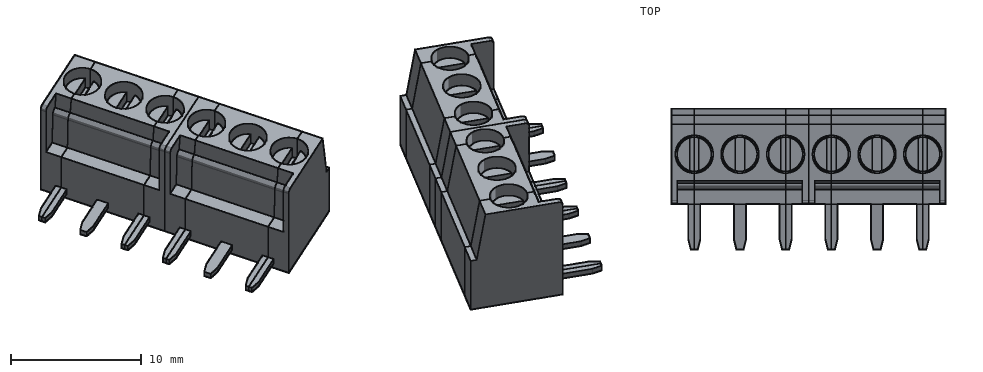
import cadquery as cq


total_length = 21.0
block_count = 2
poles_per_block = 3
block_length = total_length / block_count
pitch = block_length / poles_per_block
end_length = pitch / 2
pole_centres = [pitch * (i + 0.5) for i in range(poles_per_block)]

total_depth = 10.8
depth = 7.3
height = 9.1
shelf_height = 4.79
shelf_depth = 0.48
slope_run = 0.7
edge_radius = 0.32

cheek_width = 0.46
pocket_floor = 4.33
pocket_top_depth = 1.8
pocket_floor_depth = 1.11
lip_bottom = 7.3
lip_bottom_depth = 1.22
lip_radius = 0.4

bore_diameter = 2.9
screw_diameter = 2.62
bore_centre_y = 3.82
bore_depth = 3.02
screw_recess = 1.0
slot_width = 0.71
slot_depth = 1.0

pin_length = total_depth - depth
pin_width = 0.95
pin_tip_width = 0.55
pin_taper_length = 0.8
pin_thickness = 0.48
pin_bottom = 0.5


def make_housing():
    """Full block outline, extruded along X, with the upper edge of the pin face rounded."""
    outline = (
        cq.Workplane("YZ")
        .moveTo(0, 0)
        .lineTo(depth, 0)
        .lineTo(depth, shelf_height)
        .lineTo(depth - shelf_depth, shelf_height)
        .lineTo(depth - shelf_depth - slope_run, height)
        .lineTo(0, height)
        .close()
    )
    return outline.extrude(block_length).edges("|X and >Z and <Y").fillet(edge_radius)


def make_pocket():
    """Cutter for the pocket between the two cheeks; its back wall leans and steps out at the lip."""
    lip_top = lip_bottom + lip_radius
    lip_top_depth = lip_bottom_depth + lip_radius
    return (
        cq.Workplane("YZ", origin=(cheek_width, 0, 0))
        .moveTo(0, pocket_floor)
        .lineTo(pocket_floor_depth, pocket_floor)
        .lineTo(lip_bottom_depth, lip_bottom)
        .radiusArc((lip_top_depth, lip_top), lip_radius)
        .lineTo(pocket_top_depth, height)
        .lineTo(0, height)
        .close()
        .extrude(block_length - 2 * cheek_width)
    )


def make_screw_opening(x):
    """Cutter for one pole: the bore, less the slotted screw that stands in it."""
    bore_floor = height - bore_depth
    screw_top = height - screw_recess
    floor_plane = cq.Workplane("XY", origin=(x, bore_centre_y, bore_floor))
    bore = floor_plane.circle(bore_diameter / 2).extrude(bore_depth)
    screw = floor_plane.circle(screw_diameter / 2).extrude(bore_depth - screw_recess)
    slot = (
        cq.Workplane("XY", origin=(x, bore_centre_y, screw_top))
        .rect(slot_width, bore_diameter)
        .extrude(-slot_depth)
    )
    return bore.cut(screw.cut(slot))


def make_pin(x):
    """Flat pin with a tapered tip, pointing toward -Y."""
    taper_start = pin_taper_length - pin_length
    return (
        cq.Workplane("XY", origin=(x, 0, pin_bottom))
        .moveTo(-pin_width / 2, 0)
        .lineTo(-pin_width / 2, taper_start)
        .lineTo(-pin_tip_width / 2, -pin_length)
        .lineTo(pin_tip_width / 2, -pin_length)
        .lineTo(pin_width / 2, taper_start)
        .lineTo(pin_width / 2, 0)
        .close()
        .extrude(pin_thickness)
    )


def make_block():
    """Complete three-pole shape, from which the separate sections are taken."""
    block = make_housing().cut(make_pocket())
    for x in pole_centres:
        block = block.cut(make_screw_opening(x)).union(make_pin(x))
    return block


def take_section(block, x_start, x_end):
    """Part of the block between two planes across X."""
    slab = cq.Workplane("XY").box(
        x_end - x_start, 2 * total_depth, height, centered=(False, True, False)
    )
    return block.intersect(slab.translate((x_start, 0, 0)))


def make_left_end(block):
    """Outer half of the first pole."""
    return take_section(block, 0, end_length)


def make_middle(block):
    """Everything between the centre planes of the outer poles."""
    return take_section(block, end_length, block_length - end_length)


def make_right_end(block):
    """Outer half of the last pole."""
    return take_section(block, block_length - end_length, block_length)


full_block = make_block()
sections = [make_left_end(full_block), make_middle(full_block), make_right_end(full_block)]

bodies = []
for index in range(block_count):
    block_start = index * block_length - total_length / 2
    for section in sections:
        bodies.append(section.translate((block_start, 0, 0)).solids().val())

result = cq.Compound.makeCompound(bodies)